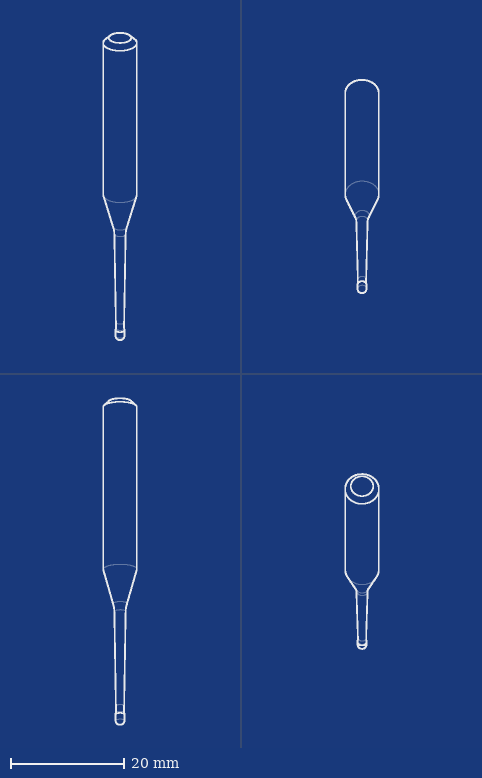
import cadquery as cq
import math

TOOL_LENGTH = 60.0
SHANK_RADIUS = 3.0
TOP_CHAMFER = 1.0

BALL_RADIUS = 1.6 / 2
HEAD_LENGTH = 1.9

NECK_RADIUS = 1.5 / 2
RELIEF_END_Z = 2.3
TAPER_START_Z = 3.55
TAPER_END_Z = 21.05
TAPER_END_RADIUS = 1.0

BLEND_END_Z = 22.5
BLEND_END_RADIUS = 1.25
CONE_END_Z = 28.85


def blend_middle():
    """Point on the blend arc that leaves the taper along its own slope."""
    run = BLEND_END_Z - TAPER_END_Z
    rise = BLEND_END_RADIUS - TAPER_END_RADIUS
    taper_angle = math.atan2(TAPER_END_RADIUS - NECK_RADIUS, TAPER_END_Z - TAPER_START_Z)
    chord_angle = math.atan2(rise, run)
    sagitta = math.hypot(run, rise) / 2 * math.tan((chord_angle - taper_angle) / 2)
    radius = (TAPER_END_RADIUS + BLEND_END_RADIUS) / 2 - sagitta * math.cos(chord_angle)
    height = (TAPER_END_Z + BLEND_END_Z) / 2 + sagitta * math.sin(chord_angle)
    return radius, height


def revolve_about_z(profile):
    """Turn a closed XZ half-profile into a solid of revolution."""
    return profile.close().revolve(360, (0, 0, 0), (0, 1, 0))


def make_cutting_head():
    arc_offset = BALL_RADIUS * math.sqrt(0.5)
    profile = (
        cq.Workplane("XZ")
        .moveTo(0, 0)
        .threePointArc((arc_offset, BALL_RADIUS - arc_offset), (BALL_RADIUS, BALL_RADIUS))
        .lineTo(BALL_RADIUS, HEAD_LENGTH)
        .lineTo(0, HEAD_LENGTH)
    )
    return revolve_about_z(profile)


def make_shank():
    profile = (
        cq.Workplane("XZ")
        .moveTo(0, HEAD_LENGTH)
        .lineTo(BALL_RADIUS, HEAD_LENGTH)
        .lineTo(NECK_RADIUS, RELIEF_END_Z)
        .lineTo(NECK_RADIUS, TAPER_START_Z)
        .lineTo(TAPER_END_RADIUS, TAPER_END_Z)
        .threePointArc(blend_middle(), (BLEND_END_RADIUS, BLEND_END_Z))
        .lineTo(SHANK_RADIUS, CONE_END_Z)
        .lineTo(SHANK_RADIUS, TOOL_LENGTH - TOP_CHAMFER)
        .lineTo(SHANK_RADIUS - TOP_CHAMFER, TOOL_LENGTH)
        .lineTo(0, TOOL_LENGTH)
    )
    return revolve_about_z(profile)


cutting_head = make_cutting_head()
shank = make_shank()

result = cq.Compound.makeCompound([cutting_head.val(), shank.val()])